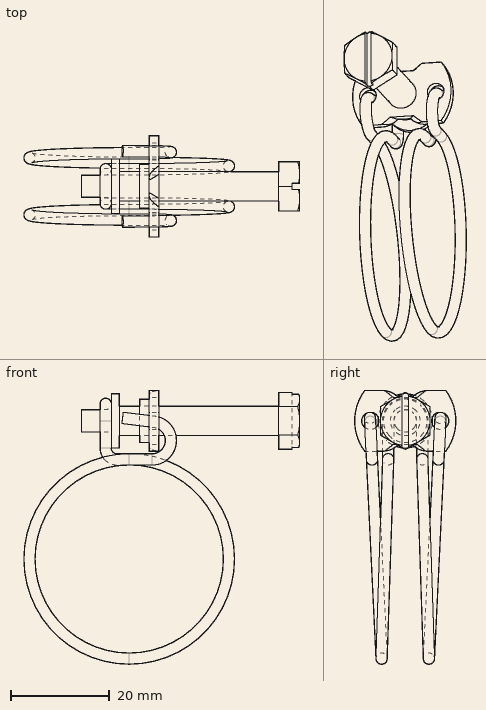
import cadquery as cq
import math


wire_dia = 2.3
ring_inner_dia = 38.0
ring_radius = (ring_inner_dia + wire_dia) / 2
bottom_y = 4.78
outer_top_y = 6.72
inner_top_y = 3.45
loop_x = 4.6
loop_radius = 3.82
end_tilt = math.radians(7)
end_length = 6.45
hook_bend_radius = 2.25

screw_z = 27.89
shaft_dia = 6.0
neck_dia = 4.5
neck_start_x = -9.65
flange_start_x = -3.6
flange_thickness = 1.6
flange_dia = 11.0
head_across_flats = 10.0
head_height = 4.25
head_end_x = 34.45
head_chamfer_depth = 0.4
slot_width = 1.25
slot_depth = 1.55
hook_x = flange_start_x - wire_dia / 2

plate_dia = 20.5
plate_height = 12.3
plate_start_x = 4.0
plate_thickness = 2.0
collar_dia = 8.8
collar_length = 1.9
wire_hole_dia = 3.45
wire_hole_y = 7.05
lobe_radius = 4.5
lobe_start_y = 4.62
notch_floor = 4.73
notch_front_half = 1.25
notch_back_half = 2.4
notch_flank_slope = 0.8


def strand_plane(top_y):
    """Plane of a half ring: through the bottom of the ring, leaning to top_y at its top."""
    lean = math.asin((top_y - bottom_y) / (2 * ring_radius))
    up = cq.Vector(0, math.sin(lean), math.cos(lean))
    x_dir = cq.Vector(1, 0, 0)
    return cq.Plane(origin=(0, bottom_y, -ring_radius), xDir=x_dir, normal=x_dir.cross(up))


def sweep_wire(path):
    """Round wire along a path of lines and arcs."""
    spine = path.wire()
    section_plane = cq.Plane(origin=spine.val().startPoint(), normal=spine.val().tangentAt(0))
    return cq.Workplane(section_plane).circle(wire_dia / 2).sweep(spine)


def make_wire():
    """One continuous wire: an end, a curl and two half turns on each side, joined by a hook."""
    ring_top = 2 * ring_radius
    curl_height = ring_top + loop_radius
    curl_end = (loop_x + loop_radius * math.sin(end_tilt), curl_height + loop_radius * math.cos(end_tilt))
    end_tip = (curl_end[0] - end_length * math.cos(end_tilt), curl_end[1] + end_length * math.sin(end_tilt))
    outer_path = (
        cq.Workplane(strand_plane(outer_top_y))
        .moveTo(*end_tip)
        .lineTo(*curl_end)
        .threePointArc((loop_x + loop_radius, curl_height), (loop_x, ring_top))
        .lineTo(0, ring_top)
        .threePointArc((-ring_radius, ring_radius), (0, 0))
    )

    inner_plane = strand_plane(inner_top_y)
    inner_path = cq.Workplane(inner_plane).threePointArc((ring_radius, ring_radius), (0, ring_top))

    strand_z = inner_plane.toWorldCoords((0, ring_top)).z
    bend_mid = hook_bend_radius * math.sqrt(0.5)
    bend_x = hook_x + hook_bend_radius
    bend_z = strand_z + hook_bend_radius
    arm_path = (
        cq.Workplane("XZ", origin=(0, inner_top_y, 0))
        .moveTo(0, strand_z)
        .lineTo(bend_x, strand_z)
        .threePointArc((bend_x - bend_mid, bend_z - bend_mid), (hook_x, bend_z))
        .lineTo(hook_x, screw_z)
    )

    hook_path = (
        cq.Workplane("YZ", origin=(hook_x, 0, 0))
        .moveTo(inner_top_y, screw_z)
        .threePointArc((0, screw_z + inner_top_y), (-inner_top_y, screw_z))
    )

    half = sweep_wire(outer_path).union(sweep_wire(inner_path)).union(sweep_wire(arm_path))
    return half.union(sweep_wire(hook_path)).union(half.mirror("XZ"))


def screw_plane(x):
    """Workplane across the screw axis at x, facing +X, with local axes Y and Z."""
    return cq.Workplane("YZ", origin=(x, 0, screw_z))


def make_screw():
    """Slotted hexagon screw with a flange and a thin neck at its tip."""
    head_start_x = head_end_x - head_height
    shaft_start_x = flange_start_x + flange_thickness
    neck = screw_plane(neck_start_x).circle(neck_dia / 2).extrude(flange_start_x - neck_start_x)
    flange = screw_plane(flange_start_x).circle(flange_dia / 2).extrude(flange_thickness)
    shaft = screw_plane(shaft_start_x).circle(shaft_dia / 2).extrude(head_start_x - shaft_start_x)

    corner_dia = head_across_flats / math.cos(math.pi / 6)
    head = (
        screw_plane(head_start_x)
        .transformed(rotate=(0, 0, 90))
        .polygon(6, corner_dia)
        .extrude(head_height)
    )
    corner_rounding = (
        screw_plane(head_start_x)
        .circle(corner_dia / 2)
        .extrude(head_height)
        .faces(">X")
        .chamfer(head_chamfer_depth, (corner_dia - head_across_flats) / 2)
    )
    slot = screw_plane(head_end_x - slot_depth).rect(slot_width, corner_dia).extrude(slot_depth)
    head = head.intersect(corner_rounding).cut(slot)
    return neck.union(flange).union(shaft).union(head)


def make_notch():
    """Upper notch of the plate: rounded shoulders and a floor that widens towards +X."""
    half_height = plate_height / 2
    shoulder_drop = half_height - notch_floor
    shoulder_run = math.sqrt(lobe_radius**2 - (lobe_radius - shoulder_drop) ** 2)
    shoulder_y = lobe_start_y - shoulder_run
    mid_run = lobe_radius * math.sin(math.asin(shoulder_run / lobe_radius) / 2)
    mid_z = half_height - lobe_radius + math.sqrt(lobe_radius**2 - mid_run**2)
    mid_y = lobe_start_y - mid_run
    shoulders = (
        screw_plane(plate_start_x)
        .moveTo(-lobe_start_y, half_height)
        .threePointArc((-mid_y, mid_z), (-shoulder_y, notch_floor))
        .lineTo(shoulder_y, notch_floor)
        .threePointArc((mid_y, mid_z), (lobe_start_y, half_height))
        .close()
        .extrude(plate_thickness)
    )

    def flank_outline(half_width):
        top_half = half_width + shoulder_drop / notch_flank_slope
        return [
            (-half_width, notch_floor),
            (half_width, notch_floor),
            (top_half, half_height),
            (-top_half, half_height),
        ]

    flanks = (
        screw_plane(plate_start_x)
        .polyline(flank_outline(notch_front_half))
        .close()
        .workplane(offset=plate_thickness)
        .polyline(flank_outline(notch_back_half))
        .close()
        .loft(ruled=True)
    )
    return shoulders.union(flanks)


def make_nut_plate():
    """Two-lobed plate with a collar, a bore for the screw and a hole for each wire end."""
    disc = screw_plane(plate_start_x).circle(plate_dia / 2).extrude(plate_thickness)
    band = screw_plane(plate_start_x).rect(plate_dia, plate_height).extrude(plate_thickness)
    notch = make_notch()
    lower_notch = notch.mirror("XY", (0, 0, screw_z))
    plate = disc.intersect(band).cut(notch).cut(lower_notch)

    collar_start_x = plate_start_x - collar_length
    nut_length = collar_length + plate_thickness
    collar = screw_plane(collar_start_x).circle(collar_dia / 2).extrude(collar_length)
    bore = screw_plane(collar_start_x).circle(shaft_dia / 2).extrude(nut_length)
    wire_holes = (
        screw_plane(plate_start_x)
        .pushPoints([(-wire_hole_y, 0), (wire_hole_y, 0)])
        .circle(wire_hole_dia / 2)
        .extrude(plate_thickness)
    )
    return plate.union(collar).cut(bore).cut(wire_holes)


clamp_wire = make_wire()
screw = make_screw()
nut_plate = make_nut_plate()

result = cq.Compound.makeCompound(
    [clamp_wire.solids().val(), screw.solids().val(), nut_plate.solids().val()]
)